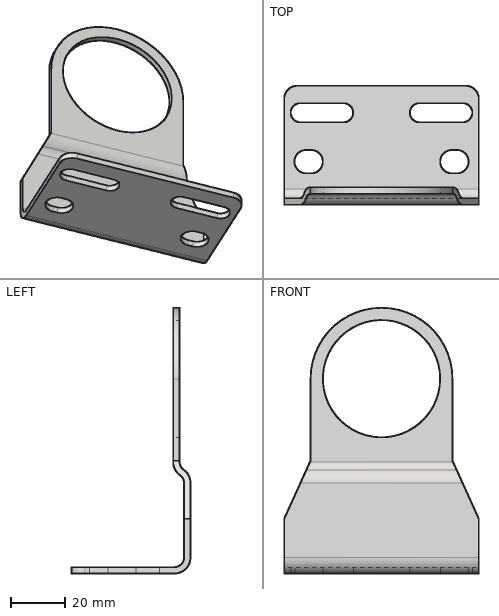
import cadquery as cq
import math

width = 72.0
depth = 44.0
height = 98.25
thickness = 2.5

bend_inner = 3.5
bend_outer = bend_inner + thickness
jog_offset = 4.0
jog_start = 33.5

ring_radius = 26.2
ring_hole_diameter = 43.2
ring_center_height = height - ring_radius
taper_bottom = 20.2
taper_top = 41.8

base_corner_radius = 5.0
long_slot_length = 23.0
long_slot_width = 7.0
long_slot_x = 22.0
long_slot_y = 34.0
short_slot_length = 10.4
short_slot_width = 8.5
short_slot_x = 26.9
short_slot_y = 15.9


def arc_point(center, radius, angle):
    """Point on a circle in the YZ plane, angle measured from +Y toward +Z."""
    return (center[0] + radius * math.cos(angle), center[1] + radius * math.sin(angle))


def bent_sheet():
    """Side profile of the sheet, extruded over the full width."""
    jog_angle = math.acos(1 - jog_offset / (bend_inner + bend_outer))
    jog_end = jog_start + (bend_inner + bend_outer) * math.sin(jog_angle)
    base_bend = (bend_outer, bend_outer)
    lower_bend = (bend_outer, jog_start)
    upper_bend = (jog_offset - bend_inner, jog_end)

    base_middle = math.radians(225)
    lower_end = math.pi - jog_angle
    lower_middle = math.pi - jog_angle / 2
    upper_middle = -jog_angle / 2

    profile = (
        cq.Workplane("YZ")
        .moveTo(depth, 0)
        .lineTo(bend_outer, 0)
        .threePointArc(arc_point(base_bend, bend_outer, base_middle), (0, bend_outer))
        .lineTo(0, jog_start)
        .threePointArc(
            arc_point(lower_bend, bend_outer, lower_middle),
            arc_point(lower_bend, bend_outer, lower_end),
        )
        .threePointArc(arc_point(upper_bend, bend_inner, upper_middle), (jog_offset, jog_end))
        .lineTo(jog_offset, height)
        .lineTo(jog_offset + thickness, height)
        .lineTo(jog_offset + thickness, jog_end)
        .threePointArc(
            arc_point(upper_bend, bend_outer, upper_middle),
            arc_point(lower_bend, bend_inner, lower_end),
        )
        .threePointArc(arc_point(lower_bend, bend_inner, lower_middle), (thickness, jog_start))
        .lineTo(thickness, bend_outer)
        .threePointArc(arc_point(base_bend, bend_inner, base_middle), (bend_outer, thickness))
        .lineTo(depth, thickness)
        .close()
    )
    return profile.extrude(width / 2, both=True)


def upright_outline():
    """Round-topped, tapered outline with the ring hole, through the full depth."""
    half_width = width / 2
    return (
        cq.Workplane("XZ")
        .moveTo(-half_width, 0)
        .lineTo(half_width, 0)
        .lineTo(half_width, taper_bottom)
        .lineTo(ring_radius, taper_top)
        .lineTo(ring_radius, ring_center_height)
        .threePointArc((0, height), (-ring_radius, ring_center_height))
        .lineTo(-ring_radius, taper_top)
        .lineTo(-half_width, taper_bottom)
        .close()
        .moveTo(0, ring_center_height)
        .circle(ring_hole_diameter / 2)
        .extrude(-depth)
    )


def slot_pair(x, y, length, slot_width):
    """Mirrored pair of cutters for slots through the base, running along X."""
    return (
        cq.Workplane("XY")
        .pushPoints([(-x, y), (x, y)])
        .slot2D(length, slot_width)
        .extrude(thickness)
    )


bracket = bent_sheet().intersect(upright_outline())
bracket = bracket.edges("|Z and >Y").fillet(base_corner_radius)
bracket = bracket.cut(slot_pair(long_slot_x, long_slot_y, long_slot_length, long_slot_width))
bracket = bracket.cut(slot_pair(short_slot_x, short_slot_y, short_slot_length, short_slot_width))

result = bracket.translate((0, -depth / 2, -height / 2))